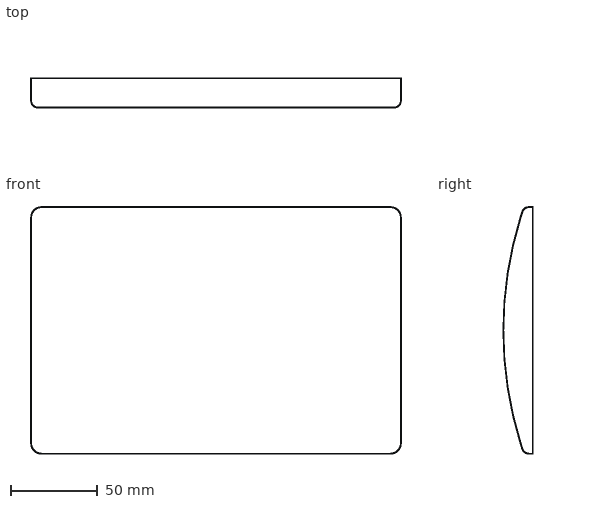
import cadquery as cq

width = 213.0
depth = 17.0
height = 142.0

edge_depth = 5.1
corner_radius = 6.2
rim_radius = 4.0

half_height = height / 2
plate = (
    cq.Workplane("YZ")
    .moveTo(0, -half_height)
    .lineTo(-edge_depth, -half_height)
    .threePointArc((-depth, 0), (-edge_depth, half_height))
    .lineTo(0, half_height)
    .close()
    .extrude(width / 2, both=True)
)

plate = plate.edges("|Y").fillet(corner_radius)
result = plate.faces("<Y").edges().fillet(rim_radius)